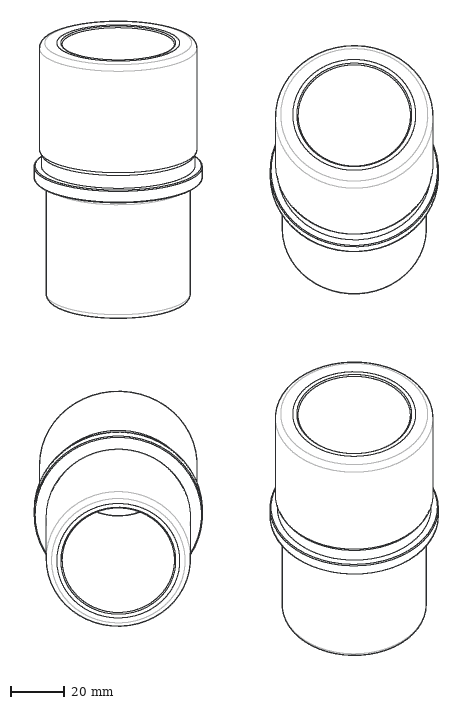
import cadquery as cq

length = 100.0
liner_radius = 23.0
bore_radius = 21.0
bore_chamfer = 0.5

shank_radius = 27.0
shank_top = 45.0
neck_radius = 26.4

collar_radius = 31.5
collar_bottom = 47.0
collar_thickness = 5.0
collar_top = collar_bottom + collar_thickness
collar_chamfer = 0.4

barrel_radius = 29.5
relief_radius = 28.8
relief_top = 57.0
barrel_bottom = 58.3

end_fillet = 2.0


def make_housing():
    """Revolve the stepped outer sleeve, then round its ends and break the collar edges."""
    profile = (
        cq.Workplane("XZ")
        .moveTo(liner_radius, 0)
        .lineTo(shank_radius, 0)
        .lineTo(shank_radius, shank_top)
        .lineTo(neck_radius, collar_bottom)
        .lineTo(collar_radius, collar_bottom)
        .lineTo(collar_radius, collar_top)
        .lineTo(relief_radius, collar_top)
        .lineTo(relief_radius, relief_top)
        .lineTo(barrel_radius, barrel_bottom)
        .lineTo(barrel_radius, length)
        .lineTo(liner_radius, length)
        .close()
    )
    body = profile.revolve(360, (0, 0, 0), (0, 1, 0))
    body = body.edges(cq.selectors.RadiusNthSelector(-1)).chamfer(collar_chamfer)
    for end_face in ("<Z", ">Z"):
        body = body.faces(end_face).edges(cq.selectors.RadiusNthSelector(-1)).fillet(end_fillet)
    return body


def make_liner():
    """Plain bearing liner, flush with both housing ends, with chamfered bore mouths."""
    liner = cq.Workplane("XY").circle(liner_radius).circle(bore_radius).extrude(length)
    return liner.edges(cq.selectors.RadiusNthSelector(0)).chamfer(bore_chamfer)


housing = make_housing()
liner = make_liner()

result = cq.Compound.makeCompound([housing.val(), liner.val()])